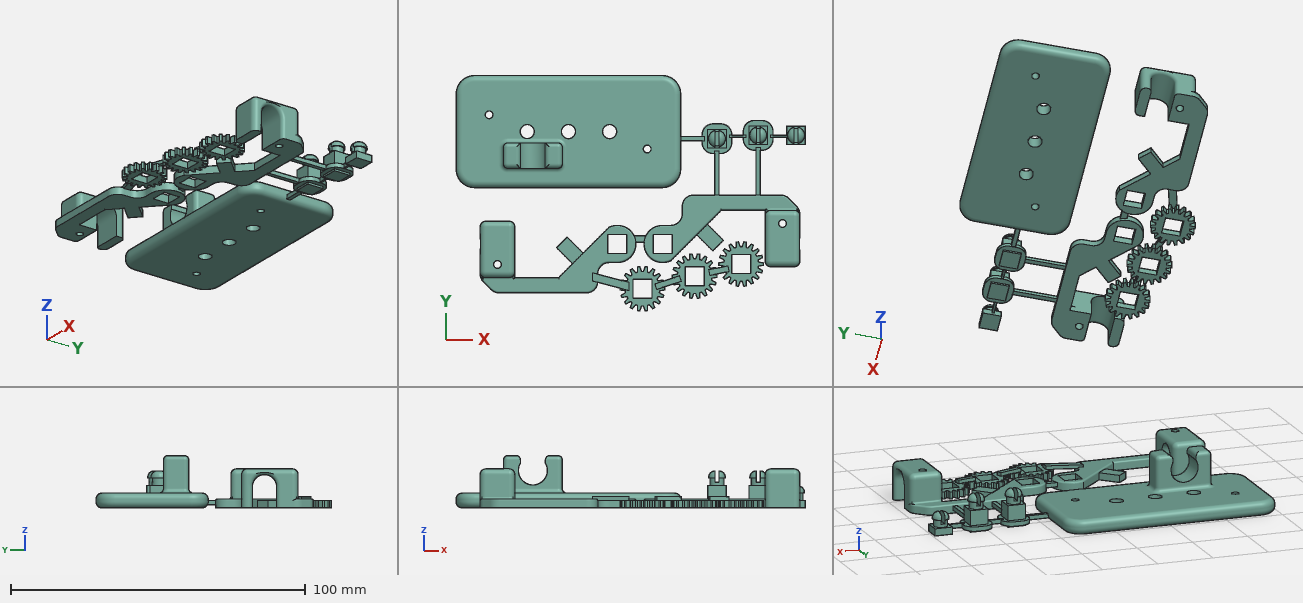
import cadquery as cq
import math


CLEARANCE = 0.1

PLATE_LENGTH = 76.2
PLATE_WIDTH = 38.1
PLATE_THICKNESS = 5.08
PLATE_CORNER_RADIUS = 6.35
PLATE_EDGE_RADIUS = 2.1
PIVOT_HOLE_DIAMETER = 4.7
PIVOT_PITCH = 13.97
SCREW_HOLE_DIAMETER = 2.54
SCREW_HOLES = [(-26.9, 5.7), (26.7, -5.9)]

CLIP_CENTER = (-12.05, -8.15)
CLIP_LENGTH = 20.0
CLIP_WIDTH = 8.64
TOTAL_HEIGHT = 17.78
CLIP_EDGE_RADIUS = 1.524
CLIP_FOOT_RADIUS = 1.5
CLIP_BORE_DIAMETER = 9.75
CLIP_BORE_Z = 12.7
CLIP_MOUTH_WIDTH = 8.38

DRIVE_SIZE = 6.35

PIN_1 = (50.35, -2.4)
PIN_2 = (PIN_1[0] + PIVOT_PITCH, -1.28)
PIN_3 = (77.175, PIN_2[1])
TALL_DRIVE_HEIGHT = 7.62
SHORT_DRIVE_HEIGHT = 2.54
SHANK_DIAMETER = 4.83
SHANK_LENGTH = 2.54
HEAD_DIAMETER = 5.75
HEAD_LENGTH = 2.45
HEAD_DOME_RADIUS = 2.25
PIN_SLOT_WIDTH = 1.27
PIN_SLOT_DEPTH = 3.85
FLANGE_SIZE = 10.16
FLANGE_BOTTOM = 0.762
FLANGE_THICKNESS = 1.524
FLANGE_CORNER_RADIUS = 3.81

ARM_MIDPOINT = (24.25, -38.1)
RING_OFFSET = 7.7
WEB_ANGLE = 45
ARM_THICKNESS = 3.048
ARM_EDGE_RADIUS = 0.6
RING_RADIUS = 6.35
WEB_EDGE_OFFSET = 6.0
BAR_INNER_Y = 11.43
BAR_OUTER_Y = 16.6
BAR_LEFT_X = 6.6
BAR_BEVEL = 4.9
ARM_CORNER_RADIUS = 3.81
TAB_WIDTH = 5.08
TAB_END_DISTANCE = 13.7
TAB_SIDE_OFFSET = 12.9
TAB_THICKNESS = 2.54
POST_WIDTH = 11.83
POST_LEFT_X = 34.7
POST_END_Y = -7.75
POST_HEIGHT = 13.3
POST_EDGE_RADIUS = 1.98
POST_BORE_DIAMETER = 8.128
POST_BORE_Z = 7.2
POST_BORE_FLARE = 1.4
POST_HOLE_Y = 6.93
POST_FOOT_RADIUS = 0.635

GEAR_CENTERS = [(25.1, -53.27), (42.8, -49.0), (58.55, -44.9)]
GEAR_THICKNESS = 2.54
GEAR_TEETH = 18
GEAR_MODULE = 0.762
DEDENDUM_FACTOR = 1.25
TOOTH_TIP_WIDTH = 0.85
TOOTH_ROOT_WIDTH = 1.45

ROD_BOTTOM = 1.016
ROD_TOP = 2.54
ROD_WIDTH = 1.524
THIN_ROD_WIDTH = 0.762
THIN_ROD_Y = -1.58
SPRUE_OVERLAP = 0.9
GEAR_LINK_TOP = 3.81
GEAR_LINKS = [
    ((8.17, -49.25), (20.5, -52.5), 2.7, False),
    ((29.62, -52.6), (37.94, -49.8), 2.0, True),
    ((47.76, -47.8), (54.27, -46.5), 2.0, True),
]
RING_LINK_WIDTH = 2.286
RING_LINK_Y = 1.7


def block(x0, x1, y0, y1, z0, z1):
    """Axis-aligned box between two opposite corners."""
    return cq.Workplane("XY").box(x1 - x0, y1 - y0, z1 - z0, centered=False).translate((x0, y0, z0))


def edges_at_height(center, length, width, z):
    """Selector for the edges at height z within a rectangle around a centre point."""
    return cq.selectors.BoxSelector(
        (center[0] - length / 2 - CLEARANCE, center[1] - width / 2 - CLEARANCE, z - CLEARANCE),
        (center[0] + length / 2 + CLEARANCE, center[1] + width / 2 + CLEARANCE, z + CLEARANCE),
    )


def make_clip():
    """Cradle with a round bore along Y that opens upwards through a narrower mouth."""
    clip = (
        cq.Workplane("XY")
        .box(CLIP_LENGTH, CLIP_WIDTH, TOTAL_HEIGHT, centered=(True, True, False))
        .edges("|Z").fillet(CLIP_EDGE_RADIUS)
    )
    mouth_depth = TOTAL_HEIGHT - CLIP_BORE_Z
    mouth = (
        cq.Workplane("XY")
        .box(CLIP_MOUTH_WIDTH, CLIP_WIDTH, mouth_depth, centered=(True, True, False))
        .translate((0, 0, CLIP_BORE_Z))
    )
    bore = (
        cq.Workplane("XZ")
        .center(0, CLIP_BORE_Z)
        .circle(CLIP_BORE_DIAMETER / 2)
        .extrude(CLIP_WIDTH / 2, both=True)
    )
    clip = clip.cut(mouth).cut(bore)
    clip = clip.faces(">Z").edges().fillet(CLIP_EDGE_RADIUS)
    return clip.translate((*CLIP_CENTER, 0))


def make_plate():
    """Rounded cover plate with its clip, three pivot holes and two screw holes."""
    plate = (
        cq.Workplane("XY")
        .box(PLATE_LENGTH, PLATE_WIDTH, PLATE_THICKNESS, centered=(True, True, False))
        .edges("|Z").fillet(PLATE_CORNER_RADIUS)
        .faces("<Z or >Z").edges().fillet(PLATE_EDGE_RADIUS)
    )
    plate = plate.union(make_clip())
    foot = edges_at_height(CLIP_CENTER, CLIP_LENGTH, CLIP_WIDTH, PLATE_THICKNESS)
    plate = plate.edges(foot).fillet(CLIP_FOOT_RADIUS)
    pivots = [(i * PIVOT_PITCH, 0) for i in (-1, 0, 1)]
    for centers, diameter in ((pivots, PIVOT_HOLE_DIAMETER), (SCREW_HOLES, SCREW_HOLE_DIAMETER)):
        holes = cq.Workplane("XY").pushPoints(centers).circle(diameter / 2).extrude(PLATE_THICKNESS)
        plate = plate.cut(holes)
    return plate


def make_pin(center, drive_height, with_flange):
    """Square drive with a slotted, domed snap head."""
    head_z = drive_height + SHANK_LENGTH
    top_z = head_z + HEAD_LENGTH
    shank = cq.Workplane("XY").circle(SHANK_DIAMETER / 2).extrude(head_z)
    head = (
        cq.Workplane("XY", origin=(0, 0, head_z))
        .circle(HEAD_DIAMETER / 2)
        .extrude(HEAD_LENGTH)
        .faces(">Z").edges().fillet(HEAD_DOME_RADIUS)
    )
    slot = (
        cq.Workplane("XY")
        .box(PIN_SLOT_WIDTH, HEAD_DIAMETER, PIN_SLOT_DEPTH, centered=(True, True, False))
        .translate((0, 0, top_z - PIN_SLOT_DEPTH))
    )
    drive = cq.Workplane("XY").box(DRIVE_SIZE, DRIVE_SIZE, drive_height, centered=(True, True, False))
    pin = shank.union(head).cut(slot).union(drive)
    if with_flange:
        flange = (
            cq.Workplane("XY", origin=(0, 0, FLANGE_BOTTOM))
            .box(FLANGE_SIZE, FLANGE_SIZE, FLANGE_THICKNESS, centered=(True, True, False))
            .edges("|Z").fillet(FLANGE_CORNER_RADIUS)
        )
        pin = pin.union(flange)
    return pin.translate((*center, 0))


def half_opening():
    """Half section of the post opening, flared where it leaves the outer face."""
    right_x = POST_LEFT_X + POST_WIDTH
    radius = POST_BORE_DIAMETER / 2
    flare = POST_BORE_FLARE
    flare_mid = flare * (1 - math.sqrt(0.5))
    return (
        cq.Workplane("XY")
        .moveTo(POST_LEFT_X, 0)
        .lineTo(POST_LEFT_X, radius)
        .lineTo(right_x - flare, radius)
        .threePointArc((right_x - flare_mid, radius + flare_mid), (right_x, radius + flare))
        .lineTo(right_x, 0)
        .close()
    )


def make_post():
    """Post at the end of an arm, with an arched bore along X flared on its outer face."""
    right_x = POST_LEFT_X + POST_WIDTH
    post = block(POST_LEFT_X, right_x, POST_END_Y, BAR_INNER_Y, 0, POST_HEIGHT)
    post = post.edges("|Z or >Z").fillet(POST_EDGE_RADIUS)
    arch = half_opening().revolve(360, (0, 0, 0), (1, 0, 0)).translate((0, 0, POST_BORE_Z))
    half_passage = half_opening().extrude(POST_BORE_Z)
    passage = half_passage.union(half_passage.mirror("XZ"))
    hole = (
        cq.Workplane("XY")
        .center(POST_LEFT_X + POST_WIDTH / 2, POST_HOLE_Y)
        .circle(SCREW_HOLE_DIAMETER / 2)
        .extrude(POST_HEIGHT)
    )
    return post.cut(arch).cut(passage).cut(hole)


def make_post_foot():
    """Cove round the inner end of the post where it stands on the arm."""
    length = BAR_INNER_Y - POST_END_Y
    middle_x = POST_LEFT_X + POST_WIDTH / 2
    column = (
        cq.Workplane("XY")
        .box(POST_WIDTH, length, POST_HEIGHT / 2, centered=(True, False, False))
        .edges("|Z").fillet(POST_EDGE_RADIUS)
    )
    base = (
        cq.Workplane("XY")
        .box(2 * POST_WIDTH, 2 * length, ARM_THICKNESS, centered=(True, True, False))
        .translate((0, length / 2, 0))
    )
    root = edges_at_height((0, length / 2), POST_WIDTH, length, ARM_THICKNESS)
    coved = base.union(column).edges(root).fillet(POST_FOOT_RADIUS).translate((middle_x, POST_END_Y, 0))
    cove_space = block(
        POST_LEFT_X + ARM_EDGE_RADIUS,
        POST_LEFT_X + POST_WIDTH - ARM_EDGE_RADIUS,
        BAR_INNER_Y - POST_EDGE_RADIUS,
        BAR_INNER_Y + POST_FOOT_RADIUS,
        ARM_THICKNESS,
        ARM_THICKNESS + POST_FOOT_RADIUS,
    )
    return coved.intersect(cove_space)


def make_arm():
    """Flat arm with a drive ring, a sloping web, a side tab, a bevelled bar and a post."""
    right_x = POST_LEFT_X + POST_WIDTH
    stub_y = BAR_INNER_Y - POST_EDGE_RADIUS - ARM_EDGE_RADIUS
    bevel_corners = [
        (right_x - BAR_BEVEL, BAR_OUTER_Y, 0),
        (right_x, BAR_OUTER_Y - BAR_BEVEL, 0),
    ]
    slope = math.radians(WEB_ANGLE)
    web_top_x = BAR_INNER_Y / math.tan(slope) + WEB_EDGE_OFFSET / math.sin(slope)
    chord_angle = slope - math.pi / 2 - math.acos(WEB_EDGE_OFFSET / RING_RADIUS)
    chord = (RING_RADIUS * math.cos(chord_angle), RING_RADIUS * math.sin(chord_angle))
    profile = (
        cq.Workplane("XY")
        .moveTo(0, RING_RADIUS)
        .lineTo(BAR_LEFT_X - ARM_CORNER_RADIUS, RING_RADIUS)
        .radiusArc((BAR_LEFT_X, RING_RADIUS + ARM_CORNER_RADIUS), -ARM_CORNER_RADIUS)
        .lineTo(BAR_LEFT_X, BAR_OUTER_Y - ARM_CORNER_RADIUS)
        .radiusArc((BAR_LEFT_X + ARM_CORNER_RADIUS, BAR_OUTER_Y), ARM_CORNER_RADIUS)
        .lineTo(right_x - BAR_BEVEL, BAR_OUTER_Y)
        .lineTo(right_x, BAR_OUTER_Y - BAR_BEVEL)
        .lineTo(right_x, stub_y)
        .lineTo(POST_LEFT_X, stub_y)
        .lineTo(POST_LEFT_X, BAR_INNER_Y)
        .lineTo(web_top_x, BAR_INNER_Y)
        .lineTo(*chord)
        .threePointArc((-RING_RADIUS, 0), (0, RING_RADIUS))
        .close()
    )
    arm = profile.extrude(ARM_THICKNESS)
    for corner in bevel_corners:
        arm = arm.edges("|Z").edges(cq.selectors.NearestToPointSelector(corner)).fillet(ARM_CORNER_RADIUS)
    arm = arm.faces(">Z").edges().fillet(ARM_EDGE_RADIUS)
    drive_hole = cq.Workplane("XY").rect(DRIVE_SIZE, DRIVE_SIZE).extrude(ARM_THICKNESS)
    tab = block(
        WEB_EDGE_OFFSET - SPRUE_OVERLAP,
        TAB_END_DISTANCE,
        TAB_SIDE_OFFSET - TAB_WIDTH / 2,
        TAB_SIDE_OFFSET + TAB_WIDTH / 2,
        0,
        TAB_THICKNESS,
    ).rotate((0, 0, 0), (0, 0, 1), WEB_ANGLE - 90)
    arm = arm.cut(drive_hole).union(tab).union(make_post()).union(make_post_foot())
    return arm.translate((ARM_MIDPOINT[0] + RING_OFFSET, ARM_MIDPOINT[1], 0))


def make_gear(center):
    """Spur gear with straight-flanked teeth and a square drive hole."""
    pitch_radius = GEAR_MODULE * GEAR_TEETH / 2
    tip_radius = pitch_radius + GEAR_MODULE
    root_radius = pitch_radius - DEDENDUM_FACTOR * GEAR_MODULE
    gear = cq.Workplane("XY").circle(root_radius).extrude(GEAR_THICKNESS)
    buried_radius = root_radius - GEAR_MODULE / 2
    tooth = (
        cq.Workplane("XY")
        .polyline([
            (buried_radius, -TOOTH_ROOT_WIDTH / 2),
            (root_radius, -TOOTH_ROOT_WIDTH / 2),
            (tip_radius, -TOOTH_TIP_WIDTH / 2),
            (tip_radius, TOOTH_TIP_WIDTH / 2),
            (root_radius, TOOTH_ROOT_WIDTH / 2),
            (buried_radius, TOOTH_ROOT_WIDTH / 2),
        ])
        .close()
        .extrude(GEAR_THICKNESS)
    )
    for i in range(GEAR_TEETH):
        gear = gear.union(tooth.rotate((0, 0, 0), (0, 0, 1), i * 360 / GEAR_TEETH))
    drive_hole = cq.Workplane("XY").rect(DRIVE_SIZE, DRIVE_SIZE).extrude(GEAR_THICKNESS)
    return gear.cut(drive_hole).translate((*center, 0))


def make_rods():
    """Thin sprues joining plate, pins and arm."""
    reach = FLANGE_SIZE / 2 - SPRUE_OVERLAP
    half = ROD_WIDTH / 2
    arm_edge = ARM_MIDPOINT[1] + BAR_OUTER_Y - SPRUE_OVERLAP
    plate_edge = PLATE_LENGTH / 2 - SPRUE_OVERLAP
    rods = block(
        plate_edge, PIN_1[0] - reach, PIN_1[1] - half, PIN_1[1] + half, ROD_BOTTOM, ROD_TOP
    )
    for x, y in (PIN_1, PIN_2):
        rods = rods.union(block(x - half, x + half, arm_edge, y - reach, ROD_BOTTOM, ROD_TOP))
    y0 = THIN_ROD_Y - THIN_ROD_WIDTH / 2
    y1 = THIN_ROD_Y + THIN_ROD_WIDTH / 2
    for left, right, right_reach in ((PIN_1, PIN_2, reach), (PIN_2, PIN_3, DRIVE_SIZE / 2)):
        rods = rods.union(
            block(left[0] + reach, right[0] - right_reach, y0, y1, ROD_BOTTOM, ROD_TOP)
        )
    return rods


def gear_link(start, end, width, square_ends):
    """Bar lying on top of the parts it joins; its ends are square to it or parallel to Y."""
    run = end[0] - start[0]
    rise = end[1] - start[1]
    length = math.hypot(run, rise)
    half_width = width / 2
    end_shift = (0, half_width * length / run)
    if square_ends:
        end_shift = (-half_width * rise / length, half_width * run / length)
    return (
        cq.Workplane("XY", origin=(0, 0, GEAR_THICKNESS))
        .polyline([
            (start[0] - end_shift[0], start[1] - end_shift[1]),
            (end[0] - end_shift[0], end[1] - end_shift[1]),
            (end[0] + end_shift[0], end[1] + end_shift[1]),
            (start[0] + end_shift[0], start[1] + end_shift[1]),
        ])
        .close()
        .extrude(GEAR_LINK_TOP - GEAR_THICKNESS)
    )


def make_ring_link():
    """Short sprue between the drive rings of the two arms."""
    half_length = RING_OFFSET - RING_RADIUS + SPRUE_OVERLAP
    middle_y = ARM_MIDPOINT[1] + RING_LINK_Y
    return block(
        ARM_MIDPOINT[0] - half_length,
        ARM_MIDPOINT[0] + half_length,
        middle_y - RING_LINK_WIDTH / 2,
        middle_y + RING_LINK_WIDTH / 2,
        ROD_BOTTOM,
        ROD_TOP,
    )


right_arm = make_arm()
left_arm = right_arm.rotate((*ARM_MIDPOINT, 0), (*ARM_MIDPOINT, 1), 180)

result = make_plate()
result = result.union(make_pin(PIN_1, TALL_DRIVE_HEIGHT, True))
result = result.union(make_pin(PIN_2, TALL_DRIVE_HEIGHT, True))
result = result.union(make_pin(PIN_3, SHORT_DRIVE_HEIGHT, False))
result = result.union(make_rods())
result = result.union(right_arm).union(left_arm).union(make_ring_link())
for gear_center in GEAR_CENTERS:
    result = result.union(make_gear(gear_center))
for link_start, link_end, link_width, ends_are_square in GEAR_LINKS:
    result = result.union(gear_link(link_start, link_end, link_width, ends_are_square))